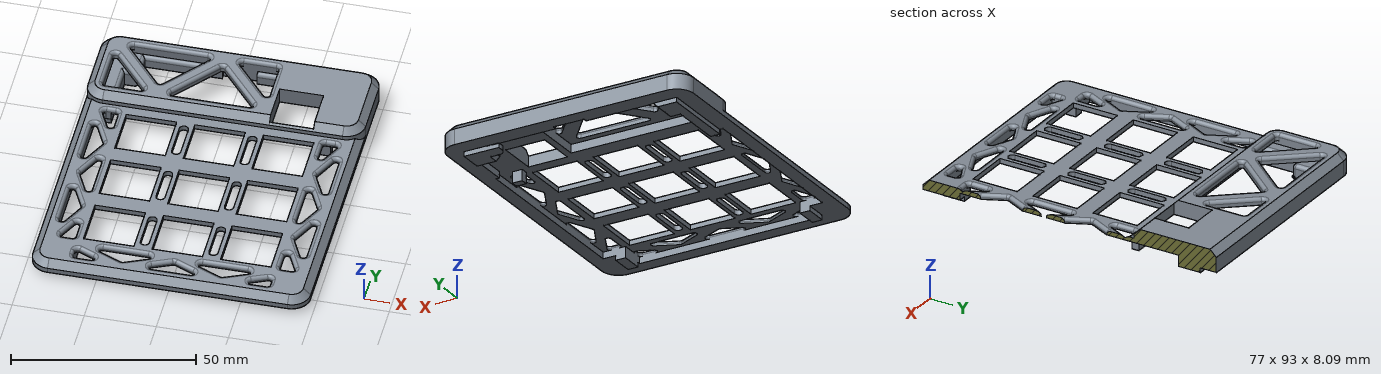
import cadquery as cq
width = 77.0
depth = 93.0
base_height = 3.5
housing_height = 6.69
housing_depth = 26.2
foot_height = 1.4
corner_radius = 5.25
edge_chamfer = 2.0
half_width = width / 2
half_depth = depth / 2
housing_front = half_depth - housing_depth

plate_thickness = 1.5
deck_thickness = 2.1
pocket_top = base_height - plate_thickness
rim_inset = 3.2
rim_radius = 1.0
window_corner_radius = 0.85
wall_inset = rim_inset + rim_radius
cap_margin = 1.4
tool_clearance = 1.0

key_pitch = 19.0
key_size = 14.0
key_field_y = -8.7
slot_width = 2.5
slot_length = 11.7

knob_size = 12.2
knob_y = 27.0

border_inner_x = 27.3
side_zone_y = -8.2
side_zone_length = 55.1
side_pitch = 13.28
side_slope = 2.05
side_outer_apex_x = 28.3
side_inner_apex_x = 34.16
front_inner_y = side_zone_y - side_zone_length / 2
front_outer_y = -half_depth + rim_inset
front_pitch = 13.8
front_slope = 2.27
front_low_apex_y = -42.4
front_high_apex_y = -37.05
front_zone_half_length = 28.3

truss_left = -half_width + rim_inset
truss_right = 11.8
truss_front = housing_front + rim_inset
truss_back = half_depth - rim_inset
strut_slope = 1.2
strut_width_x = 2.93
lower_node = (-19.27, 24.57)
upper_node_x = -4.12

housing_cavity_front = housing_front + 2.2
housing_cavity_right = truss_right - rim_radius
ledge_radius = 1.1
ledge_back = 41.1
port_half_width = 4.8

boss_inner_x = 26.2
rib_inner_x = 30.4
foot_outer_x = 33.3
boss_front_y = 34.4
boss_corner_radius = 1.0
foot_outer_y = 41.4
back_wall_front = housing_front - rim_radius - rim_radius
front_post_back = front_inner_y + rim_radius
foot_chamfer = 1.1
post_depth = 2.2
lug_left = 22.4
lug_right = 28.0
lug_front = 37.5
lug_corner_radius = 2.1


def box(x_range, y_range, z_range):
    """Box spanning the given (low, high) limits along each axis."""
    (x0, x1), (y0, y1), (z0, z1) = x_range, y_range, z_range
    return cq.Workplane("XY").box(x1 - x0, y1 - y0, z1 - z0, centered=False).translate((x0, y0, z0))


def rounded_slab(y_front, height):
    """Slab reaching the back edge, with rounded corners and a chamfered top."""
    slab = box((-half_width, half_width), (y_front, half_depth), (0, height))
    return slab.edges("|Z").fillet(corner_radius).faces(">Z").edges().chamfer(edge_chamfer)


def window_cutter(rim_points, top):
    """Through cutter for a window whose rim, at height `top`, has the given sharp outline."""
    rim = cq.Workplane("XY").polyline(rim_points).close()
    hole = rim.offset2D(-rim_radius).extrude(top).edges("|Z").fillet(window_corner_radius)
    cap = hole.faces(">Z").wires().toPending().offset2D(cap_margin).extrude(tool_clearance, combine=False)
    cutter = hole.union(cap)
    seam = cutter.faces("<Z[-2]").val().innerWires()[0].Edges()
    return cutter.newObject(seam).fillet(rim_radius)


def zigzag_triangle(base_across, apex_across, centre_along, slope):
    """Corners (along, across) of a border triangle: a base on one line, an apex on another."""
    half_base = abs(base_across - apex_across) * slope
    return [
        (centre_along - half_base, base_across),
        (centre_along, apex_across),
        (centre_along + half_base, base_across),
    ]


def zigzag_end(base_across, apex_across, centre_along, slope, end_along):
    """Half of a border triangle, cut square at `end_along` just outside its apex."""
    inward = -1 if end_along > centre_along else 1
    half_base = abs(base_across - apex_across) * slope
    return [
        (end_along, base_across),
        (end_along, apex_across),
        (centre_along, apex_across),
        (centre_along + inward * half_base, base_across),
    ]


def side_windows():
    """Rim outlines of the five windows along the right border."""
    outer_x = half_width - rim_inset
    outlines = [zigzag_triangle(border_inner_x, side_inner_apex_x, side_zone_y, side_slope)]
    for direction in (-1, 1):
        outer_y = side_zone_y + direction * side_pitch
        end_apex_y = side_zone_y + direction * 2 * side_pitch
        end_y = side_zone_y + direction * side_zone_length / 2
        outlines.append(zigzag_triangle(outer_x, side_outer_apex_x, outer_y, side_slope))
        outlines.append(zigzag_end(border_inner_x, side_inner_apex_x, end_apex_y, side_slope, end_y))
    return [[(across, along) for along, across in outline] for outline in outlines]


def front_windows():
    """Rim outlines of the five windows along the front border."""
    outlines = [zigzag_triangle(front_outer_y, front_high_apex_y, 0, front_slope)]
    for direction in (-1, 1):
        inner_x = direction * front_pitch
        end_apex_x = direction * 2 * front_pitch
        end_x = direction * front_zone_half_length
        outlines.append(zigzag_triangle(front_inner_y, front_low_apex_y, inner_x, front_slope))
        outlines.append(zigzag_end(front_outer_y, front_high_apex_y, end_apex_x, front_slope, end_x))
    return outlines


def truss_windows():
    """Rim outlines of the four deck windows left between three zigzag struts."""
    low_x, low_y = lower_node
    half_strut = strut_width_x / 2
    high_y = low_y + (upper_node_x - low_x) * strut_slope
    high_node = (upper_node_x, high_y)

    def strut_edge(node, lean, side, y):
        """X at height y on one edge of a strut through `node`, rising to the right if lean is 1."""
        return node[0] + lean * (y - node[1]) / strut_slope + side * half_strut

    def corner_height(node, lean, side, x):
        """Y where that strut edge reaches the given x."""
        return node[1] + lean * (x - node[0] - side * half_strut) * strut_slope

    down_apex_y = low_y + half_strut * strut_slope
    up_apex_y = high_y - half_strut * strut_slope
    left_corner = [
        (truss_left, truss_front),
        (strut_edge(lower_node, -1, -1, truss_front), truss_front),
        (truss_left, corner_height(lower_node, -1, -1, truss_left)),
    ]
    pointing_down = [
        (low_x, down_apex_y),
        (strut_edge(lower_node, 1, -1, truss_back), truss_back),
        (strut_edge(lower_node, -1, 1, truss_back), truss_back),
    ]
    pointing_up = [
        (strut_edge(high_node, 1, 1, truss_front), truss_front),
        (strut_edge(high_node, -1, -1, truss_front), truss_front),
        (upper_node_x, up_apex_y),
    ]
    right_corner = [
        (truss_right, truss_back),
        (strut_edge(high_node, -1, 1, truss_back), truss_back),
        (truss_right, corner_height(high_node, -1, 1, truss_right)),
    ]
    return [left_corner, pointing_down, pointing_up, right_corner]


def mirrored(points):
    """The same outline on the other side of the YZ plane."""
    return [(-x, y) for x, y in points]


def plate_pocket():
    """Pocket under the key plate, leaving a solid post in each front corner."""
    side = half_width - wall_inset
    pocket = box((-side, side), (front_outer_y + rim_radius, housing_cavity_front), (0, pocket_top))
    for low_x, high_x in ((-half_width, -border_inner_x), (border_inner_x, half_width)):
        pocket = pocket.cut(box((low_x, high_x), (-half_depth, front_post_back), (0, pocket_top)))
    left_wall = box((-half_width, -rib_inner_x), (back_wall_front, half_depth), (0, pocket_top))
    return pocket.cut(left_wall)


def housing_cavity():
    """Stepped cavity under the truss: a wide upper part and a rounded ledge around the lower part."""
    lower = box(
        (-rib_inner_x, housing_cavity_right), (housing_cavity_front, ledge_back), (0, base_height)
    )
    boss = box((-half_width, -boss_inner_x), (boss_front_y, half_depth), (0, base_height))
    boss = boss.edges("|Z and >X and <Y").fillet(boss_corner_radius)
    lower = lower.cut(boss)
    upper = box(
        (-half_width + wall_inset, housing_cavity_right),
        (housing_cavity_front, truss_back - rim_radius),
        (base_height, housing_height - deck_thickness),
    )
    cavity = lower.union(upper)
    seam_box = cq.selectors.BoxSelector(
        (-rib_inner_x - 0.1, housing_cavity_front + 0.1, base_height - 0.1),
        (housing_cavity_right - 0.1, ledge_back + 0.1, base_height + 0.1),
    )
    cavity = cavity.edges(seam_box).fillet(ledge_radius)
    port = box(
        (-port_half_width, port_half_width),
        (housing_cavity_front, truss_back - rim_radius),
        (0, base_height),
    )
    right_part = box(
        (housing_cavity_right, foot_outer_x), (housing_cavity_front, ledge_back), (0, pocket_top)
    )
    right_boss = box((boss_inner_x, half_width), (boss_front_y, half_depth), (0, pocket_top))
    right_boss = right_boss.edges("|Z and <X and <Y").fillet(boss_corner_radius)
    return cavity.union(port).union(right_part.cut(right_boss))


def knob_opening():
    """Square through opening in the housing, above the right key column."""
    opening = cq.Workplane("XY").rect(knob_size, knob_size).extrude(housing_height)
    return opening.translate((key_pitch, knob_y, 0))


def key_openings():
    """Three by three square key holes with a vertical slot between neighbours."""
    y_offset = (0, key_field_y, 0)
    keys = cq.Workplane("XY").rarray(key_pitch, key_pitch, 3, 3).rect(key_size, key_size)
    slots = cq.Workplane("XY").rarray(key_pitch, key_pitch, 2, 3).slot2D(slot_length, slot_width, 90)
    return keys.extrude(base_height).union(slots.extrude(base_height)).translate(y_offset)


def feet():
    """Feet below the body, with the right-hand post behind the key plate."""
    below = (-foot_height, 0)
    front_foot = box((border_inner_x, rib_inner_x), (-foot_outer_y, front_post_back), below)
    back_foot = box((boss_inner_x, foot_outer_x), (boss_front_y, foot_outer_y), below)
    back_foot = back_foot.faces("<Z").edges("<X").chamfer(foot_chamfer)
    left_rib = box((-foot_outer_x, -rib_inner_x), (back_wall_front, boss_front_y), below)
    right_lug = box((lug_left, lug_right), (lug_front, foot_outer_y), below)
    right_lug = right_lug.edges("|Z and <X and <Y").fillet(lug_corner_radius)
    right_post = box(
        (border_inner_x, rib_inner_x),
        (back_wall_front, back_wall_front + post_depth),
        (-foot_height, pocket_top),
    )
    return [
        front_foot,
        front_foot.mirror("YZ"),
        back_foot,
        back_foot.mirror("YZ"),
        left_rib,
        right_lug,
        right_post,
    ]


base = rounded_slab(-half_depth, base_height)
for outline in side_windows():
    base = base.cut(window_cutter(outline, base_height))
    base = base.cut(window_cutter(mirrored(outline), base_height))
for outline in front_windows():
    base = base.cut(window_cutter(outline, base_height))
base = base.cut(key_openings())

housing = rounded_slab(housing_front, housing_height)
for outline in truss_windows():
    housing = housing.cut(window_cutter(outline, housing_height))

result = base.union(housing).cut(plate_pocket()).cut(housing_cavity()).cut(knob_opening())
for foot in feet():
    result = result.union(foot)